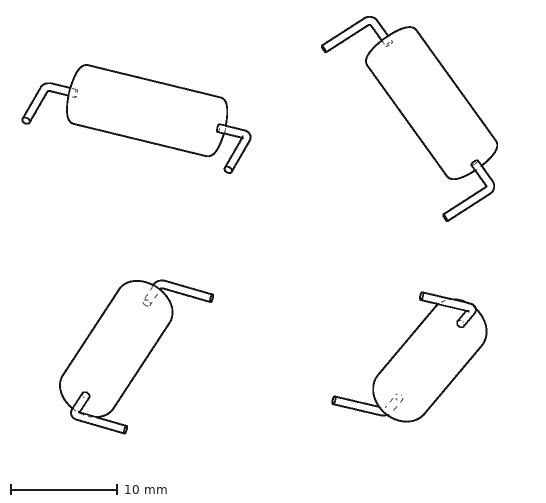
import cadquery as cq

overall_length = 21.07
body_length = 14.3
body_diameter = 5.7
body_edge_radius = 0.5
overall_depth = 8.22
lead_diameter = 0.75
bend_radius = 0.5

lead_axis_x = (overall_length - lead_diameter) / 2
lead_tip_y = body_diameter / 2 - overall_depth


def make_body():
    """Cylinder centred on the origin with rounded end rims."""
    cylinder = cq.Workplane("YZ").circle(body_diameter / 2).extrude(body_length / 2, both=True)
    return cylinder.faces("<X or >X").edges().fillet(body_edge_radius)


def make_wire():
    """One continuous U-shaped wire through the body, forming both leads."""
    bend_start_x = lead_axis_x - bend_radius
    path = (
        cq.Workplane("XY")
        .moveTo(-lead_axis_x, lead_tip_y)
        .lineTo(-lead_axis_x, -bend_radius)
        .tangentArcPoint((-bend_start_x, 0), relative=False)
        .lineTo(bend_start_x, 0)
        .tangentArcPoint((lead_axis_x, -bend_radius), relative=False)
        .lineTo(lead_axis_x, lead_tip_y)
    )
    tip_plane = cq.Workplane("XZ", origin=(-lead_axis_x, lead_tip_y, 0))
    return tip_plane.circle(lead_diameter / 2).sweep(path)


result = make_body().union(make_wire())